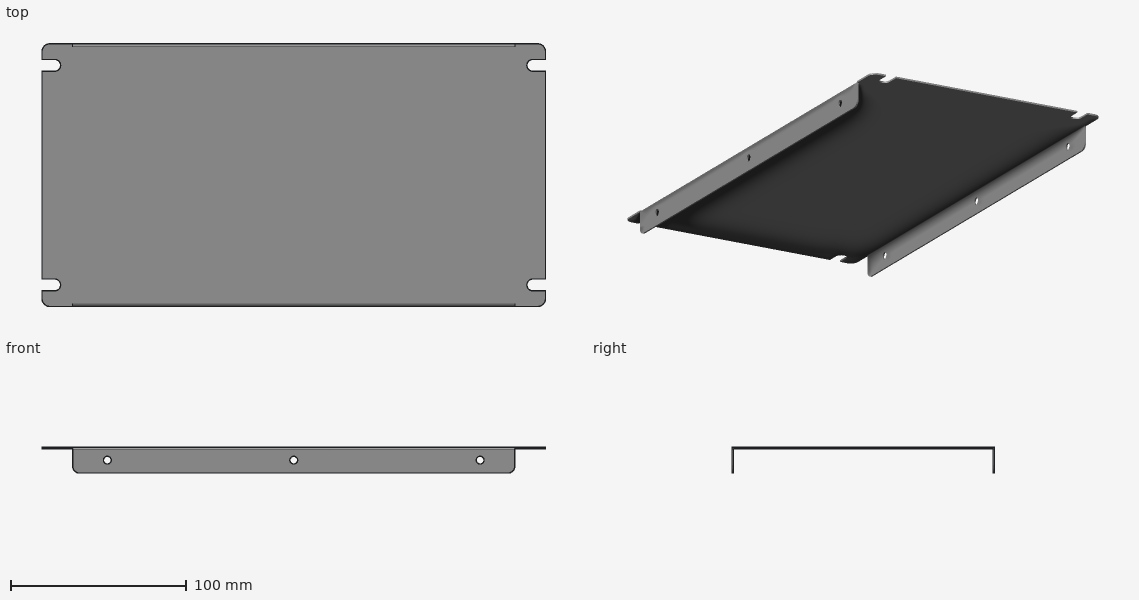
import cadquery as cq

length = 286.5
width = 149.5
height = 15.0
thickness = 1.0
corner_radius = 4.5

flange_length = 251.5
flange_corner_radius = 4.0
bend_outer_radius = 1.5
bend_inner_radius = bend_outer_radius - thickness

hole_diameter = 4.3
hole_spacing = 106.0
hole_depth_below_top = 7.5

slot_width = 6.5
slot_depth = 10.5
slot_edge_distance = 12.3


def make_plate():
    """Flat plate with rounded corners."""
    plate = cq.Workplane("XY").box(length, width, thickness, centered=(True, True, False))
    return plate.edges("|Z").fillet(corner_radius).translate((0, 0, -thickness))


def make_bend_clearance():
    """Strips of plate removed where the rounded bends take their place."""
    strip = cq.Workplane("XY").box(flange_length, bend_outer_radius, 2 * thickness)
    offset = (width - bend_outer_radius) / 2
    return strip.translate((0, offset, 0)).union(strip.translate((0, -offset, 0)))


def make_flange():
    """Bend and hanging wall on the -Y edge, with rounded lower corners and screw holes."""
    outer_y = -width / 2
    inner_y = outer_y + thickness
    bend_y = outer_y + bend_outer_radius
    bend_z = -bend_outer_radius
    diagonal = 0.5 ** 0.5
    outer_mid = (bend_y - bend_outer_radius * diagonal, bend_z + bend_outer_radius * diagonal)
    inner_mid = (bend_y - bend_inner_radius * diagonal, bend_z + bend_inner_radius * diagonal)
    flange = (
        cq.Workplane("YZ")
        .moveTo(bend_y, 0)
        .threePointArc(outer_mid, (outer_y, bend_z))
        .lineTo(outer_y, -height)
        .lineTo(inner_y, -height)
        .lineTo(inner_y, bend_z)
        .threePointArc(inner_mid, (bend_y, -thickness))
        .close()
        .extrude(flange_length / 2, both=True)
    )
    flange = flange.faces("<X or >X").edges("|Y and <Z").fillet(flange_corner_radius)
    holes = (
        cq.Workplane("XZ", origin=(0, outer_y, 0))
        .pushPoints([(x, -hole_depth_below_top) for x in (-hole_spacing, 0, hole_spacing)])
        .circle(hole_diameter / 2)
        .extrude(thickness, both=True)
    )
    return flange.cut(holes)


def make_slots():
    """Four round-ended cutters, each running out through a short edge."""
    slot_x = length / 2
    slot_y = width / 2 - slot_edge_distance
    return (
        cq.Workplane("XY")
        .pushPoints([(x, y) for x in (-slot_x, slot_x) for y in (-slot_y, slot_y)])
        .slot2D(2 * slot_depth, slot_width)
        .extrude(thickness, both=True)
    )


front_flange = make_flange()
back_flange = front_flange.mirror("XZ")
plate = make_plate().cut(make_bend_clearance()).cut(make_slots())
result = plate.union(front_flange).union(back_flange)